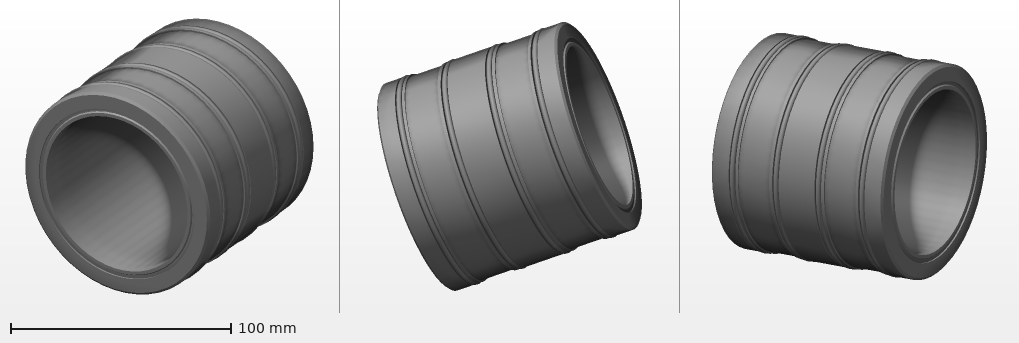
import cadquery as cq

LENGTH = 88.9
RING_OUTER_RADIUS = 50.2
LAND_RADIUS = 49.8
WAIST_RADIUS = 49.0
BORE_RADIUS = 38.1

END_CHAMFER_LENGTH = 1.0
END_CHAMFER_DEPTH = 1.2

RECESS_RADIUS = 41.9
LIP_BASE_RADIUS = 40.2
LIP_TOP_RADIUS = 39.7
RECESS_DEPTH = 0.8
LIP_DEPTH = 0.1

RING_SECTION_RADIUS = 1.3
GROOVE_WIDTH = 3.4
OUTER_GROOVE_Y = 33.4
INNER_GROOVE_Y = 10.9
OUTER_RING_SHIFT = 0.1
OUTER_RING_Y = OUTER_GROOVE_Y + OUTER_RING_SHIFT
GROOVE_FLOOR_RADIUS = RING_OUTER_RADIUS - 2 * RING_SECTION_RADIUS
GROOVE_CENTRES = [-OUTER_GROOVE_Y, -INNER_GROOVE_Y, INNER_GROOVE_Y, OUTER_GROOVE_Y]
RING_CENTRES = [-OUTER_RING_Y, -INNER_GROOVE_Y, INNER_GROOVE_Y, OUTER_RING_Y]

WAIST_OUTER_Y = 30.4
WAIST_INNER_Y = 14.2

HALF_LENGTH = LENGTH / 2
AXIS_START = (0, 0, 0)
AXIS_END = (0, 1, 0)


def tube(inner_radius, outer_radius, y_start, y_end):
    """Plain tube around the Y axis between two Y positions."""
    profile = cq.Workplane("XY").moveTo(inner_radius, y_start).lineTo(outer_radius, y_start)
    profile = profile.lineTo(outer_radius, y_end).lineTo(inner_radius, y_end).close()
    return profile.revolve(360, AXIS_START, AXIS_END)


def make_blank():
    """Sleeve body with its chamfered ends and lipped bore mouths."""
    chamfer_y = HALF_LENGTH - END_CHAMFER_LENGTH
    recess_y = HALF_LENGTH - RECESS_DEPTH
    lip_y = HALF_LENGTH - LIP_DEPTH
    upper_half = [
        (LAND_RADIUS, chamfer_y),
        (LAND_RADIUS - END_CHAMFER_DEPTH, HALF_LENGTH),
        (RECESS_RADIUS, HALF_LENGTH),
        (RECESS_RADIUS, recess_y),
        (LIP_BASE_RADIUS, recess_y),
        (LIP_TOP_RADIUS, lip_y),
        (BORE_RADIUS, lip_y),
    ]
    lower_half = [(radius, -y) for radius, y in reversed(upper_half)]
    profile = cq.Workplane("XY").polyline(upper_half + lower_half).close()
    return profile.revolve(360, AXIS_START, AXIS_END)


def make_sleeve():
    """Sleeve with the two waists and the four seal grooves cut into its outside."""
    sleeve = make_blank()
    for y_start, y_end in [(-WAIST_OUTER_Y, -WAIST_INNER_Y), (WAIST_INNER_Y, WAIST_OUTER_Y)]:
        sleeve = sleeve.cut(tube(WAIST_RADIUS, RING_OUTER_RADIUS, y_start, y_end))
    for y in GROOVE_CENTRES:
        y_start = y - GROOVE_WIDTH / 2
        y_end = y + GROOVE_WIDTH / 2
        sleeve = sleeve.cut(tube(GROOVE_FLOOR_RADIUS, RING_OUTER_RADIUS, y_start, y_end))
    return sleeve


def make_o_ring(y):
    """O-ring around the Y axis, resting on the groove floor."""
    section = cq.Workplane("XY").center(RING_OUTER_RADIUS - RING_SECTION_RADIUS, y)
    section = section.circle(RING_SECTION_RADIUS)
    axis_x = RING_SECTION_RADIUS - RING_OUTER_RADIUS
    return section.revolve(360, (axis_x, 0, 0), (axis_x, 1, 0))


sleeve = make_sleeve()
o_rings = [make_o_ring(y) for y in RING_CENTRES]

result = cq.Compound.makeCompound([sleeve.val(), *[ring.val() for ring in o_rings]])